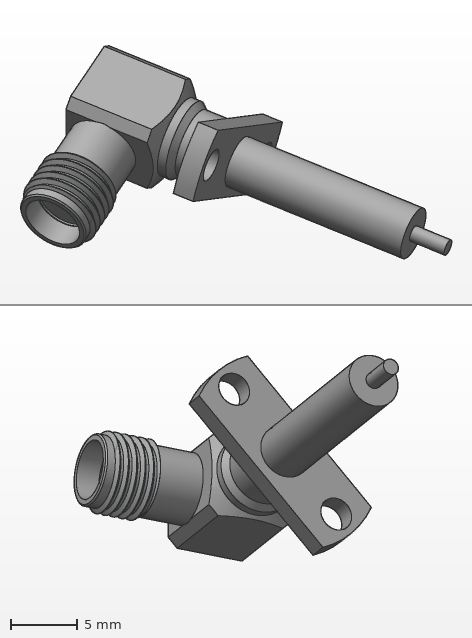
import cadquery as cq
import math

TOTAL_LENGTH = 30.73

BLOCK_WIDTH = 7.0
BLOCK_EDGE_CHAMFER = 0.77
BLOCK_CORNER_X = 6.9
BEVEL_ANGLE = 60.0
BLOCK_END_X = 7.65

COLLAR_DIAMETER = 6.4
COLLAR_TAPER_X = 8.35
FERRULE_START_X = 8.9
FERRULE_DIAMETER = 5.47
CABLE_DIAMETER = 4.12
CABLE_END_X = 27.78
CONDUCTOR_DIAMETER = 1.25

FLANGE_START_X = 11.12
FLANGE_THICKNESS = 1.7
FLANGE_WIDTH = 5.78
FLANGE_RADIUS = 7.93
FLANGE_ANGLE = 45.0
FLANGE_HOLE_RADIUS = 6.08
FLANGE_HOLE_DIAMETER = 2.58

COUPLING_X = 3.15
COUPLING_LENGTH = 11.68
COUPLING_DIAMETER = 5.6
COUPLING_CHAMFER = 0.12
BORE_DIAMETER = 4.58
BORE_DEPTH = 1.9
BORE_STEP_DIAMETER = 4.43
BORE_STEP_DEPTH = 0.18
SOCKET_RIM_DIAMETER = 1.17
SOCKET_RIM_DEPTH = 0.12
SOCKET_DIAMETER = 0.92
SOCKET_DEPTH = 1.85

THREAD_DIAMETER = 6.33
THREAD_PITCH = 0.7
THREAD_START = 7.1
THREAD_END = 10.95
THREAD_RIDGE_WIDTH = 0.55
THREAD_CREST_WIDTH = 0.05
THREAD_ROOT_OVERLAP = 0.05
THREAD_FIRST_CREST = 7.5


def x_cylinder(diameter, start, end):
    """Solid cylinder on the cable axis."""
    return cq.Workplane("YZ", origin=(start, 0, 0)).circle(diameter / 2).extrude(end - start)


def coupling_cylinder(diameter, start, end):
    """Solid cylinder on the coupling axis, placed by distance from the cable axis."""
    plane = cq.Workplane("XZ", origin=(COUPLING_X, -start, 0))
    return plane.circle(diameter / 2).extrude(end - start)


def make_block():
    half = BLOCK_WIDTH / 2
    block = cq.Workplane("YZ").rect(BLOCK_WIDTH, BLOCK_WIDTH).extrude(BLOCK_END_X)
    block = block.edges("|X").chamfer(BLOCK_EDGE_CHAMFER)
    corner_radius = math.hypot(half, half - BLOCK_EDGE_CHAMFER)
    bevel_drop = (BLOCK_END_X - BLOCK_CORNER_X) * math.tan(math.radians(BEVEL_ANGLE))
    envelope = (
        cq.Workplane("XY")
        .polyline([
            (0, 0),
            (0, corner_radius),
            (BLOCK_CORNER_X, corner_radius),
            (BLOCK_END_X, corner_radius - bevel_drop),
            (BLOCK_END_X, 0),
        ])
        .close()
        .revolve(360, (0, 0, 0), (1, 0, 0))
    )
    return block.intersect(envelope)


def make_rear():
    collar_radius = COLLAR_DIAMETER / 2
    ferrule_radius = FERRULE_DIAMETER / 2
    cable_radius = CABLE_DIAMETER / 2
    conductor_radius = CONDUCTOR_DIAMETER / 2
    return (
        cq.Workplane("XY")
        .polyline([
            (BLOCK_CORNER_X, 0),
            (BLOCK_CORNER_X, collar_radius),
            (COLLAR_TAPER_X, collar_radius),
            (FERRULE_START_X, ferrule_radius),
            (FLANGE_START_X, ferrule_radius),
            (FLANGE_START_X, cable_radius),
            (CABLE_END_X, cable_radius),
            (CABLE_END_X, conductor_radius),
            (TOTAL_LENGTH, conductor_radius),
            (TOTAL_LENGTH, 0),
        ])
        .close()
        .revolve(360, (0, 0, 0), (1, 0, 0))
    )


def make_flange():
    end = FLANGE_START_X + FLANGE_THICKNESS
    plane = cq.Workplane("YZ", origin=(FLANGE_START_X, 0, 0))
    strip = plane.rect(2 * FLANGE_RADIUS, FLANGE_WIDTH).extrude(FLANGE_THICKNESS)
    flange = strip.intersect(x_cylinder(2 * FLANGE_RADIUS, FLANGE_START_X, end))
    holes = (
        plane.pushPoints([(-FLANGE_HOLE_RADIUS, 0), (FLANGE_HOLE_RADIUS, 0)])
        .circle(FLANGE_HOLE_DIAMETER / 2)
        .extrude(FLANGE_THICKNESS)
    )
    return flange.cut(holes).rotate((0, 0, 0), (1, 0, 0), -FLANGE_ANGLE)


def make_thread():
    """Helical ridge, built along Z and then turned onto the coupling axis."""
    root_radius = COUPLING_DIAMETER / 2 - THREAD_ROOT_OVERLAP
    crest_radius = THREAD_DIAMETER / 2
    helix_start = THREAD_FIRST_CREST - 2 * THREAD_PITCH
    turns = math.ceil((THREAD_END - helix_start) / THREAD_PITCH) + 1
    helix = cq.Wire.makeHelix(THREAD_PITCH, turns * THREAD_PITCH, root_radius)
    ridge = (
        cq.Workplane("XZ")
        .polyline([
            (root_radius, -THREAD_RIDGE_WIDTH / 2),
            (crest_radius, -THREAD_CREST_WIDTH / 2),
            (crest_radius, THREAD_CREST_WIDTH / 2),
            (root_radius, THREAD_RIDGE_WIDTH / 2),
        ])
        .close()
        .sweep(cq.Workplane(obj=helix), isFrenet=True)
    )
    ridge = (
        ridge.rotate((0, 0, 0), (0, 0, 1), 180)
        .rotate((0, 0, 0), (1, 0, 0), 90)
        .translate((COUPLING_X, -helix_start, 0))
    )
    limits = coupling_cylinder(THREAD_DIAMETER + THREAD_RIDGE_WIDTH, THREAD_START, THREAD_END)
    runout = (THREAD_DIAMETER + THREAD_RIDGE_WIDTH - COUPLING_DIAMETER) / 2
    return ridge.intersect(limits.faces("|Y").chamfer(runout / 2, runout))


def make_barrel():
    barrel = coupling_cylinder(COUPLING_DIAMETER, 0, COUPLING_LENGTH)
    return barrel.faces("<Y").chamfer(COUPLING_CHAMFER)


def make_bore():
    """Open bore with a small step, then the two-step contact socket in its floor."""
    bore_floor = COUPLING_LENGTH - BORE_DEPTH
    step_floor = bore_floor - BORE_STEP_DEPTH
    rim_floor = step_floor - SOCKET_RIM_DEPTH
    socket_floor = step_floor - SOCKET_DEPTH
    return (
        coupling_cylinder(BORE_DIAMETER, bore_floor, COUPLING_LENGTH)
        .union(coupling_cylinder(BORE_STEP_DIAMETER, step_floor, bore_floor))
        .union(coupling_cylinder(SOCKET_RIM_DIAMETER, rim_floor, step_floor))
        .union(coupling_cylinder(SOCKET_DIAMETER, socket_floor, rim_floor))
    )


body = make_block().union(make_rear()).union(make_flange())
coupling = make_barrel().union(make_thread())
result = body.union(coupling).cut(make_bore())